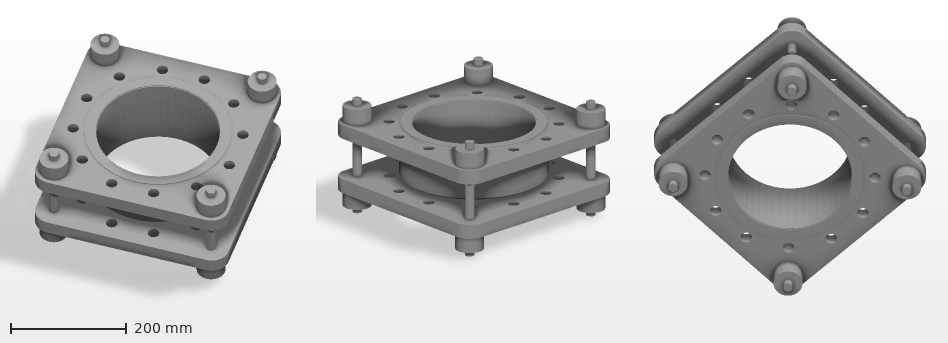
import cadquery as cq

plate_side = 350.0
plate_corner_radius = 30.0
plate_inner_z = 37.5
plate_outer_z = 63.0
plate_thickness = plate_outer_z - plate_inner_z

seal_radius = 127.0
seal_inner_radius = 108.5
seal_top_z = 64.5
seal_height = seal_top_z - plate_outer_z

bore_radius = 107.0

bolt_hole_count = 12
bolt_circle_radius = 147.0
bolt_hole_diameter = 20.0
bolt_start_angle = 180.0 / bolt_hole_count

body_radius = 129.5
body_top_z = 31.5
body_chamfer = 3.0
neck_radius = 108.5
neck_fillet = 3.0

rod_spacing = 286.0
rod_diameter = 16.0
rod_length = 210.0
cap_diameter = 50.0
cap_top_z = 92.5
cap_height = cap_top_z - plate_outer_z


def make_upper_flange():
    """Plate with its sealing ring, bolt holes and corner caps."""
    plate = (
        cq.Workplane("XY")
        .workplane(offset=plate_inner_z)
        .rect(plate_side, plate_side)
        .extrude(plate_thickness)
        .edges("|Z")
        .fillet(plate_corner_radius)
    )
    outer_face = cq.Workplane("XY").workplane(offset=plate_outer_z)
    seal = outer_face.circle(seal_radius).circle(seal_inner_radius).extrude(seal_height)
    caps = (
        outer_face.rect(rod_spacing, rod_spacing, forConstruction=True)
        .vertices()
        .circle(cap_diameter / 2)
        .extrude(cap_height)
    )
    bolt_holes = (
        cq.Workplane("XY")
        .workplane(offset=plate_inner_z)
        .polarArray(bolt_circle_radius, bolt_start_angle, 360, bolt_hole_count)
        .circle(bolt_hole_diameter / 2)
        .extrude(plate_thickness)
    )
    return plate.cut(bolt_holes).union(seal).union(caps)


def make_expansion_body():
    """Drum with chamfered rims and a neck flaring into it from each plate."""
    drum = (
        cq.Workplane("XY")
        .workplane(offset=-body_top_z)
        .circle(body_radius)
        .extrude(2 * body_top_z)
        .faces("<Z or >Z")
        .edges()
        .chamfer(body_chamfer)
    )
    upper_neck = (
        cq.Workplane("XZ")
        .moveTo(0, body_top_z)
        .lineTo(neck_radius + neck_fillet, body_top_z)
        .radiusArc((neck_radius, body_top_z + neck_fillet), neck_fillet)
        .lineTo(neck_radius, plate_inner_z)
        .lineTo(0, plate_inner_z)
        .close()
        .revolve(360, (0, 0, 0), (0, 1, 0))
    )
    return drum.union(upper_neck).union(upper_neck.mirror("XY"))


def make_tie_rods():
    """Four rods running the full height of the part."""
    return (
        cq.Workplane("XY")
        .workplane(offset=-rod_length / 2)
        .rect(rod_spacing, rod_spacing, forConstruction=True)
        .vertices()
        .circle(rod_diameter / 2)
        .extrude(rod_length)
    )


def make_bore():
    """Cutting shape for the through bore."""
    return cq.Workplane("XY").workplane(offset=-seal_top_z).circle(bore_radius).extrude(2 * seal_top_z)


upper_flange = make_upper_flange()
lower_flange = upper_flange.mirror("XY")

result = (
    upper_flange.union(lower_flange)
    .union(make_expansion_body())
    .union(make_tie_rods())
    .cut(make_bore())
)